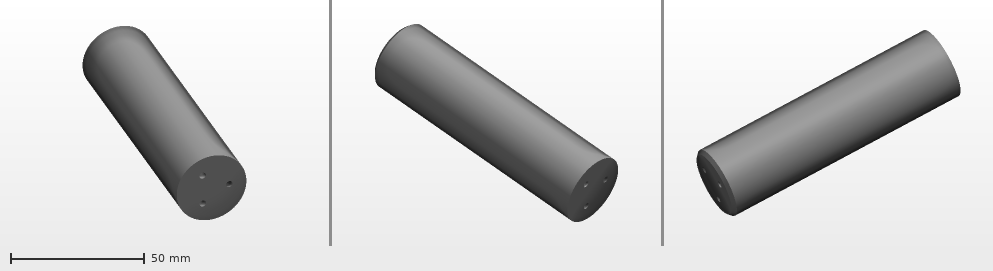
import cadquery as cq
import math

length = 100.0
diameter = 28.0
chamfer = 1.4

channel_count = 3
channel_diameter = 2.6
channel_circle_radius = 7.1
first_channel_angle = 4.0
helix_angle = 30.0

pitch = math.pi * diameter / math.tan(math.radians(helix_angle))
total_twist = 360.0 * length / pitch
start_x = -length / 2


def rod():
    """Round bar centred on the origin, chamfered at the -X end."""
    bar = cq.Workplane("YZ", origin=(start_x, 0, 0)).circle(diameter / 2).extrude(length)
    return bar.faces("<X").edges().chamfer(chamfer)


def helical_channel(index):
    """Through channel that turns from +Y toward +Z as it runs along +X."""
    angle = math.radians(first_channel_angle + index * 360.0 / channel_count)
    y = channel_circle_radius * math.cos(angle)
    z = channel_circle_radius * math.sin(angle)
    return (
        cq.Workplane("YZ", origin=(start_x, 0, 0))
        .pushPoints([(y, z)])
        .circle(channel_diameter / 2)
        .twistExtrude(length, total_twist)
    )


result = rod()
for channel_index in range(channel_count):
    result = result.cut(helical_channel(channel_index))